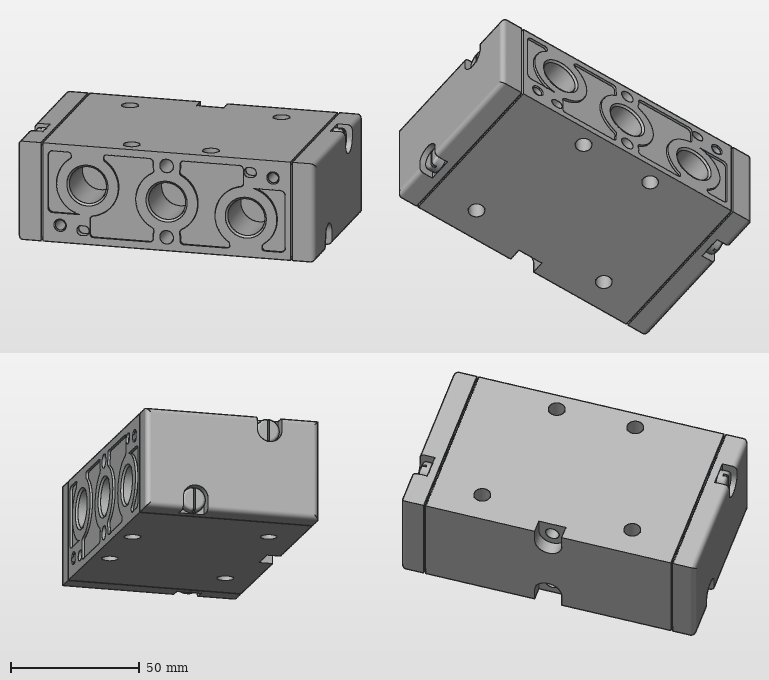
import cadquery as cq
import math

LENGTH = 120.0
DEPTH = 70.0
HEIGHT = 40.0
FRONT_Y = -DEPTH / 2
BACK_Y = DEPTH / 2
CAP_FILLET = 2.0

BODY_LENGTH = 100.0
GROOVE_WIDTH = 0.8
GROOVE_DEPTH = 1.2

PORT_CENTERS = [(-32.0, 4.0), (0.0, 0.0), (32.0, -4.0)]
PORT_DIAMETER = 14.95
PORT_MOUTH_DIAMETER = 16.6
PORT_DEPTH = 20.0

PILOT_X = -43.0
PILOT_Z = -13.0
PILOT_DIAMETER = 4.13
PILOT_MOUTH_DIAMETER = 5.0
PILOT_DEPTH = 10.0
DRILL_POINT_ANGLE = 118.0

OBROUND_X = -33.75
OBROUND_Z = -14.5
OBROUND_LENGTH = 5.0
OBROUND_WIDTH = 4.0
OBROUND_DEPTH = 3.0

POCKET_DEPTH = 1.0
POCKET_OUTER_CORNER_RADIUS = 2.0
POCKET_INNER_CORNER_RADIUS = 1.5
NECK_CORNER_RADIUS = 1.2
POCKET_TOP_Z = 17.0
POCKET_OUTER_X = -47.9
LAND_RADIUS = 12.5
LAND_NECK_HALF_WIDTH = 6.5
SIDE_POCKET_BOTTOM_Z = -8.1
CENTER_POCKET_LEFT_X = -31.0
BOLT_LAND_RADIUS = 5.5

CORNER_TOLERANCE = 0.01

BOLT_Z = 14.5
BOLT_DIAMETER = 5.5
COUNTERBORE_DIAMETER = 11.0
COUNTERBORE_DEPTH = 5.5

MOUNT_DIAMETER = 6.5
REAR_MOUNT_X = 30.6
REAR_MOUNT_Y = 23.0
FRONT_MOUNT_X = 16.0
FRONT_MOUNT_Y = -28.0

SCREW_Y = 15.0
SCREW_Z = 15.0
SCREW_POCKET_WIDTH = 10.0
SCREW_POCKET_DEPTH = 6.0
SCREW_HEAD_DIAMETER = 9.5
SCREW_HEAD_HEIGHT = 4.0
SCREW_HEAD_FILLET = 1.2
DRIVER_SLOT_WIDTH = 0.8
DRIVER_SLOT_DEPTH = 2.0


def half_turn(shape, axis):
    """Return a copy of the shape turned 180 degrees about an axis through the origin."""
    return shape.rotate((0, 0, 0), axis, 180)


def plane_facing_front(y=FRONT_Y):
    """Plane facing -Y, with local x along +X and local y along +Z."""
    return cq.Workplane(cq.Plane(origin=(0, y, 0), xDir=(1, 0, 0), normal=(0, -1, 0)))


def make_block():
    """Block with rounded end faces and a groove around each body-to-cap joint."""
    block = cq.Workplane("XY").box(LENGTH, DEPTH, HEIGHT)
    block = block.faces("<X or >X").edges().fillet(CAP_FILLET)
    core_depth = DEPTH - 2 * GROOVE_DEPTH
    core_height = HEIGHT - 2 * GROOVE_DEPTH
    groove_x = BODY_LENGTH / 2 + GROOVE_WIDTH / 2
    for x in (-groove_x, groove_x):
        ring = cq.Workplane("XY").box(GROOVE_WIDTH, DEPTH, HEIGHT)
        ring = ring.cut(cq.Workplane("XY").box(GROOVE_WIDTH, core_depth, core_height))
        block = block.cut(ring.translate((x, 0, 0)))
    return block


def make_countersunk_bore(x, z, diameter, mouth_diameter, depth, point_depth):
    """Bore into the front face with a 45 degree mouth and a conical end."""
    radius = diameter / 2
    mouth_radius = mouth_diameter / 2
    profile = [
        (0, 0),
        (mouth_radius, 0),
        (radius, mouth_radius - radius),
        (radius, depth),
        (0, depth + point_depth),
    ]
    bore = cq.Workplane("XY").polyline(profile).close().revolve(360, (0, 0), (0, 1))
    return bore.translate((x, FRONT_Y, z))


def make_pilot():
    """Pilot port with a drilled, pointed end."""
    point_depth = PILOT_DIAMETER / 2 / math.tan(math.radians(DRILL_POINT_ANGLE / 2))
    return make_countersunk_bore(
        PILOT_X, PILOT_Z, PILOT_DIAMETER, PILOT_MOUTH_DIAMETER, PILOT_DEPTH, point_depth
    )


def make_obround():
    """Obround recess in the front face."""
    outline = plane_facing_front().center(OBROUND_X, OBROUND_Z).slot2D(OBROUND_LENGTH, OBROUND_WIDTH)
    return outline.extrude(-OBROUND_DEPTH)


def land_rise(offset):
    """Height of a land circle above its center at a sideways offset."""
    return math.sqrt(LAND_RADIUS**2 - offset**2)


def fillet_corners_near(pocket, x, radius):
    """Round the pocket corners that lie at the given X position."""
    corner_band = cq.selectors.BoxSelector(
        (x - CORNER_TOLERANCE, -DEPTH, -HEIGHT), (x + CORNER_TOLERANCE, DEPTH, HEIGHT)
    )
    return pocket.edges("|Y").edges(corner_band).fillet(radius)


def make_side_pocket():
    """Pocket outside the left port, running out to a sharp tip under the port land."""
    port_x, port_z = PORT_CENTERS[0]
    neck_x = port_x - LAND_NECK_HALF_WIDTH
    neck_z = port_z + land_rise(LAND_NECK_HALF_WIDTH)
    tip_x = port_x - land_rise(port_z - SIDE_POCKET_BOTTOM_Z)
    pocket = (
        plane_facing_front()
        .moveTo(POCKET_OUTER_X, POCKET_TOP_Z)
        .lineTo(neck_x, POCKET_TOP_Z)
        .lineTo(neck_x, neck_z)
        .threePointArc((port_x - LAND_RADIUS, port_z), (tip_x, SIDE_POCKET_BOTTOM_Z))
        .lineTo(POCKET_OUTER_X, SIDE_POCKET_BOTTOM_Z)
        .close()
        .extrude(-POCKET_DEPTH)
    )
    pocket = pocket.edges("|Y and <X").fillet(POCKET_OUTER_CORNER_RADIUS)
    return fillet_corners_near(pocket, neck_x, NECK_CORNER_RADIUS)


def make_center_pocket():
    """Pocket between the left and middle ports, also curving around the bolt holes."""
    port_x, port_z = PORT_CENTERS[0]
    bottom_z = -POCKET_TOP_Z
    neck_x = port_x + LAND_NECK_HALF_WIDTH
    neck_z = port_z + land_rise(LAND_NECK_HALF_WIDTH)
    left_z = port_z - land_rise(CENTER_POCKET_LEFT_X - port_x)
    corner_x = -math.sqrt(BOLT_LAND_RADIUS**2 - (POCKET_TOP_Z - BOLT_Z) ** 2)
    cusp_z = (LAND_RADIUS**2 - BOLT_LAND_RADIUS**2 + BOLT_Z**2) / (2 * BOLT_Z)
    cusp_x = -land_rise(cusp_z)
    pocket = (
        plane_facing_front()
        .moveTo(neck_x, POCKET_TOP_Z)
        .lineTo(corner_x, POCKET_TOP_Z)
        .threePointArc((-BOLT_LAND_RADIUS, BOLT_Z), (cusp_x, cusp_z))
        .threePointArc((-LAND_RADIUS, 0), (cusp_x, -cusp_z))
        .threePointArc((-BOLT_LAND_RADIUS, -BOLT_Z), (corner_x, bottom_z))
        .lineTo(CENTER_POCKET_LEFT_X, bottom_z)
        .lineTo(CENTER_POCKET_LEFT_X, left_z)
        .threePointArc((port_x + LAND_RADIUS, port_z), (neck_x, neck_z))
        .close()
        .extrude(-POCKET_DEPTH)
    )
    pocket = fillet_corners_near(pocket, neck_x, NECK_CORNER_RADIUS)
    for x in (CENTER_POCKET_LEFT_X, corner_x, cusp_x):
        pocket = fillet_corners_near(pocket, x, POCKET_INNER_CORNER_RADIUS)
    return pocket


def cut_front_face(body):
    """Cut the ports, and the features that repeat by a half turn about Y."""
    for x, z in PORT_CENTERS:
        port = make_countersunk_bore(x, z, PORT_DIAMETER, PORT_MOUTH_DIAMETER, PORT_DEPTH, 0)
        body = body.cut(port)
    for cutter in (make_pilot(), make_obround(), make_side_pocket(), make_center_pocket()):
        body = body.cut(cutter).cut(half_turn(cutter, (0, 1, 0)))
    return body


def cut_bolt_holes(body):
    """Cut the bolt holes along Y and their counterbores, open to the top and bottom."""
    for side in (-1, 1):
        z = side * BOLT_Z
        bolt_axis = plane_facing_front(BACK_Y).center(0, z)
        hole = bolt_axis.circle(BOLT_DIAMETER / 2).extrude(DEPTH)
        seat = bolt_axis.circle(COUNTERBORE_DIAMETER / 2).extrude(COUNTERBORE_DEPTH)
        opening_height = HEIGHT / 2 - BOLT_Z
        opening = (
            plane_facing_front(BACK_Y)
            .center(0, z + side * opening_height / 2)
            .rect(COUNTERBORE_DIAMETER, opening_height)
            .extrude(COUNTERBORE_DEPTH)
        )
        body = body.cut(hole).cut(seat).cut(opening)
    return body


def cut_mounting_holes(body):
    """Cut the four vertical through holes."""
    centers = []
    for side in (-1, 1):
        centers.append((side * REAR_MOUNT_X, REAR_MOUNT_Y))
        centers.append((side * FRONT_MOUNT_X, FRONT_MOUNT_Y))
    holes = (
        cq.Workplane("XY", origin=(0, 0, -HEIGHT / 2))
        .pushPoints(centers)
        .circle(MOUNT_DIAMETER / 2)
        .extrude(HEIGHT)
    )
    return body.cut(holes)


def make_screw_pocket():
    """U-shaped pocket at the upper front of the -X cap, open to the top."""
    opening_height = HEIGHT / 2 - SCREW_Z
    plane = cq.Workplane("YZ", origin=(-LENGTH / 2, -SCREW_Y, SCREW_Z))
    seat = plane.circle(SCREW_POCKET_WIDTH / 2).extrude(SCREW_POCKET_DEPTH)
    opening = (
        plane.center(0, opening_height / 2)
        .rect(SCREW_POCKET_WIDTH, opening_height)
        .extrude(SCREW_POCKET_DEPTH)
    )
    return seat.union(opening)


def make_screw_head():
    """Slotted screw head seated on the floor of the screw pocket."""
    face_x = -LENGTH / 2 + SCREW_POCKET_DEPTH - SCREW_HEAD_HEIGHT
    plane = cq.Workplane("YZ", origin=(face_x, -SCREW_Y, SCREW_Z))
    head = plane.circle(SCREW_HEAD_DIAMETER / 2).extrude(SCREW_HEAD_HEIGHT)
    head = head.faces("<X").edges().fillet(SCREW_HEAD_FILLET)
    slot = plane.rect(DRIVER_SLOT_WIDTH, SCREW_HEAD_DIAMETER).extrude(DRIVER_SLOT_DEPTH)
    return head.cut(slot)


def add_cap_screws(body):
    """Set two screws in each cap, placed by half turns about X, Y and Z."""
    pocket = make_screw_pocket()
    head = make_screw_head()
    body = body.cut(pocket).union(head)
    for axis in ((1, 0, 0), (0, 1, 0), (0, 0, 1)):
        body = body.cut(half_turn(pocket, axis)).union(half_turn(head, axis))
    return body


body = make_block()
body = cut_front_face(body)
body = cut_bolt_holes(body)
body = cut_mounting_holes(body)
result = add_cap_screws(body)